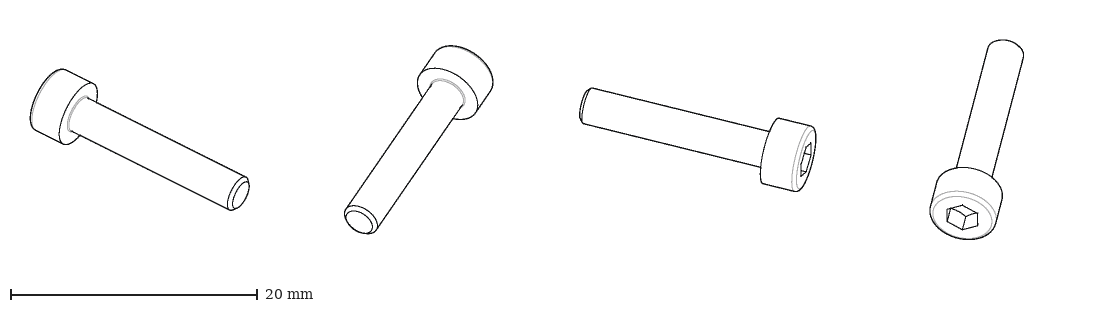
import cadquery as cq
import math

total_length = 19.0
head_diameter = 5.5
head_height = 3.0
head_edge_radius = 0.3
shank_diameter = 3.0
tip_chamfer = 0.3
neck_radius = 0.1
hex_sides = 6
hex_across_flats = 2.5
hex_depth = 1.5
drill_point_angle = 120.0

head_radius = head_diameter / 2
shank_radius = shank_diameter / 2
hex_corner_radius = hex_across_flats / math.sqrt(3)
cone_depth = hex_corner_radius / math.tan(math.radians(drill_point_angle / 2))


def make_body():
    """Revolve the half profile of head, neck fillet, shank and tip about X."""
    arc_offset = head_edge_radius * (1 - math.sqrt(0.5))
    neck_offset = neck_radius * (1 - math.sqrt(0.5))
    return (
        cq.Workplane("XY")
        .lineTo(0, head_radius - head_edge_radius)
        .threePointArc((arc_offset, head_radius - arc_offset), (head_edge_radius, head_radius))
        .lineTo(head_height, head_radius)
        .lineTo(head_height, shank_radius + neck_radius)
        .threePointArc(
            (head_height + neck_offset, shank_radius + neck_offset),
            (head_height + neck_radius, shank_radius),
        )
        .lineTo(total_length - tip_chamfer, shank_radius)
        .lineTo(total_length, shank_radius - tip_chamfer)
        .lineTo(total_length, 0)
        .close()
        .revolve(360, (0, 0, 0), (1, 0, 0))
    )


def make_socket():
    """Hexagonal socket with corners towards +Z and -Z, ending in a drill cone."""
    corner_angles = [2 * math.pi * i / hex_sides for i in range(hex_sides)]
    corners = [
        (hex_corner_radius * math.sin(angle), hex_corner_radius * math.cos(angle))
        for angle in corner_angles
    ]
    prism = cq.Workplane("YZ").polyline(corners).close().extrude(hex_depth + cone_depth)
    pointed_drill = (
        cq.Workplane("XY")
        .lineTo(0, hex_corner_radius)
        .lineTo(hex_depth, hex_corner_radius)
        .lineTo(hex_depth + cone_depth, 0)
        .close()
        .revolve(360, (0, 0, 0), (1, 0, 0))
    )
    return prism.intersect(pointed_drill)


result = make_body().cut(make_socket())